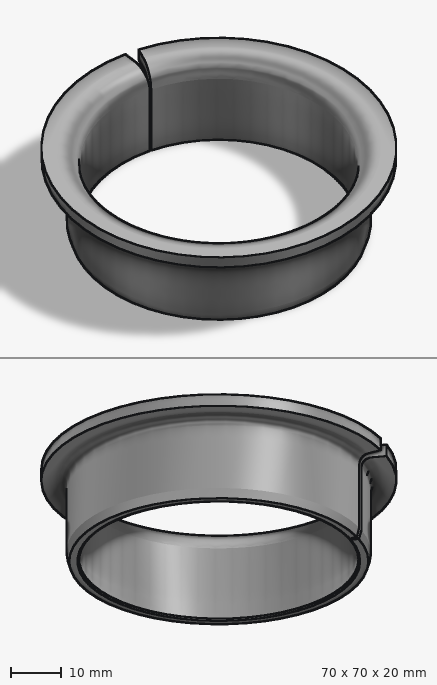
import cadquery as cq
import math

flange_radius = 35.0
height = 20.0
wall = 2.5
barrel_radius = 30.0
bore_radius = barrel_radius - wall

neck_round = 1.95
flare_round = neck_round + wall

lead_height = 1.9
lead_depth = 0.55

bore_chamfer = 0.35

split_outer_width = 3.0
split_side_angle = 10.0


def arc_middle(center_x, center_z, radius):
    """Midpoint of a quarter arc on the upper inward side of its center."""
    offset = radius * math.sqrt(0.5)
    return (center_x - offset, center_z + offset)


def make_bush():
    """Revolve the whole wall section about Z, with its seam on the -X side."""
    round_x = bore_radius + flare_round
    round_z = height - flare_round
    return (
        cq.Workplane("XZ")
        .moveTo(bore_radius, bore_chamfer)
        .lineTo(bore_radius + bore_chamfer, 0)
        .lineTo(barrel_radius - lead_depth, 0)
        .lineTo(barrel_radius, lead_height)
        .lineTo(barrel_radius, round_z)
        .threePointArc(arc_middle(round_x, round_z, neck_round), (round_x, height - wall))
        .lineTo(flange_radius, height - wall)
        .lineTo(flange_radius, height)
        .lineTo(round_x, height)
        .threePointArc(arc_middle(round_x, round_z, flare_round), (bore_radius, round_z))
        .close()
        .revolve(360, (0, 0, 0), (0, 1, 0))
        .rotate((0, 0, 0), (0, 0, 1), 180)
    )


def make_split():
    """Full-height wedge whose sides meet inside the bore."""
    slope = math.tan(math.radians(split_side_angle))
    tip_radius = flange_radius - split_outer_width / 2 / slope
    reach = flange_radius + wall
    half_width = (reach - tip_radius) * slope
    return (
        cq.Workplane("XY")
        .polyline([(-tip_radius, 0), (-reach, half_width), (-reach, -half_width)])
        .close()
        .extrude(height)
    )


result = make_bush().cut(make_split())